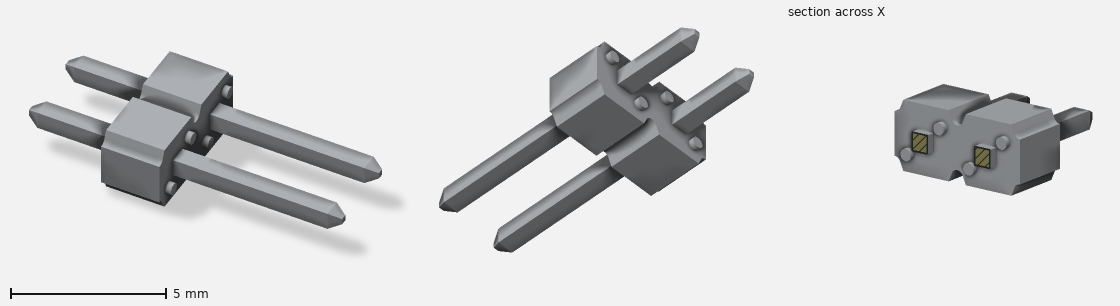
import cadquery as cq


positions = 2
pitch = 2.54
body_length = 2.13
body_height = 2.41
body_width = positions * pitch

groove_half_width = 0.35
groove_depth = 0.445
flank_depth = 0.29
flank_foot_half_width = 0.225

pin_size = 0.64
pin_length = 11.43
pin_front_reach = 3.25
tip_size = 0.22
tip_length = 0.42

peg_diameter = 0.42
peg_height = 0.21
peg_offset_y = 0.665
peg_offset_z = 0.565

body_start = -body_length / 2
pin_start = body_start - pin_front_reach
pin_centers = [(i - (positions - 1) / 2) * pitch for i in range(positions)]
groove_centers = [(i - positions / 2) * pitch for i in range(positions + 1)]


def groove_cutter(center_y, side):
    """Groove along X, cut into the top (side=1) or bottom (side=-1) face."""
    surface = body_height / 2
    bottom = surface - groove_depth
    foot = surface - flank_depth
    return (
        cq.Workplane("YZ", origin=(body_start, 0, 0))
        .moveTo(center_y - groove_half_width, side * surface)
        .lineTo(center_y - flank_foot_half_width, side * foot)
        .threePointArc(
            (center_y, side * bottom),
            (center_y + flank_foot_half_width, side * foot),
        )
        .lineTo(center_y + groove_half_width, side * surface)
        .close()
        .extrude(body_length)
    )


def housing():
    """Block with grooves between positions and half grooves at its ends."""
    block = cq.Workplane("XY").box(body_length, body_width, body_height)
    for center_y in groove_centers:
        for side in (1, -1):
            block = block.cut(groove_cutter(center_y, side))
    return block


def pin_tip(base_x, center_y, direction):
    """Pyramid frustum narrowing from the shank toward direction (+1 or -1) along X."""
    base_plane = cq.Plane(
        origin=(base_x, center_y, 0), xDir=(0, 1, 0), normal=(direction, 0, 0)
    )
    return (
        cq.Workplane(base_plane)
        .rect(pin_size, pin_size)
        .workplane(offset=tip_length)
        .rect(tip_size, tip_size)
        .loft(ruled=True)
    )


def pin(center_y):
    """Square pin with a tapered tip at each end."""
    shank_start = pin_start + tip_length
    shank_length = pin_length - 2 * tip_length
    shank = (
        cq.Workplane("YZ", origin=(shank_start, center_y, 0))
        .rect(pin_size, pin_size)
        .extrude(shank_length)
    )
    front_tip = pin_tip(shank_start, center_y, -1)
    back_tip = pin_tip(shank_start + shank_length, center_y, 1)
    return shank.union(front_tip).union(back_tip)


def pegs(center_y):
    """Diagonal pair of round pegs standing out of both end faces."""
    return (
        cq.Workplane("YZ", origin=(body_start - peg_height, 0, 0))
        .pushPoints([
            (center_y + peg_offset_y, peg_offset_z),
            (center_y - peg_offset_y, -peg_offset_z),
        ])
        .circle(peg_diameter / 2)
        .extrude(body_length + 2 * peg_height)
    )


result = housing()
for pin_y in pin_centers:
    result = result.union(pin(pin_y)).union(pegs(pin_y))